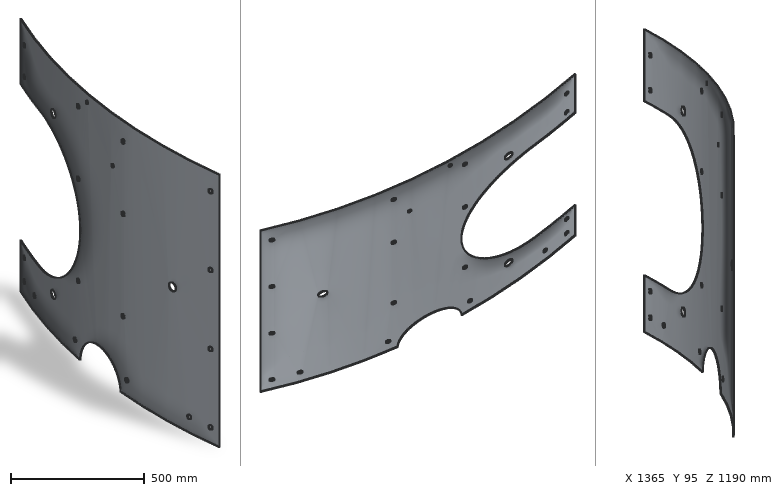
import cadquery as cq
import math

width = 1365.0
depth = 95.0
height = 1190.0
thickness = 4.0

refinement_steps = 20
end_angle = 2 * math.atan(depth / (width / 2))
for _ in range(refinement_steps):
    sagitta = depth - thickness * math.cos(end_angle)
    end_angle = 2 * math.atan(sagitta / (width / 2))
outer_radius = width / 2 / math.sin(end_angle)
inner_radius = outer_radius - thickness
bend_center_y = outer_radius - depth / 2

opening_radius = 343.0
opening_tip_x = -138.0
opening_center_x = opening_tip_x - opening_radius
opening_center_z = -30.0

notch_radius = 139.0
notch_top_z = -464.0

large_hole_diameter = 37.0
medium_hole_diameter = 19.0
small_hole_diameter = 15.0

side_column_x = 639.0
inner_column_x = 154.0
top_row_z = 505.0
upper_row_z = 367.0
lower_row_z = -423.0
bottom_row_z = -527.0

large_holes = [
    (-355.0, upper_row_z),
    (-355.0, lower_row_z),
    (442.0, 3.0),
]
medium_holes = [
    (x, z) for x in (-inner_column_x, inner_column_x) for z in (top_row_z, 188.0, -258.0)
]
small_holes = [(-89.0, 555.0), (87.0, upper_row_z)]
edge_holes = [(-side_column_x, z) for z in (top_row_z, upper_row_z, lower_row_z)]
edge_holes += [(side_column_x, z) for z in (top_row_z, 161.0, -184.0)]
edge_holes += [
    (side * x, bottom_row_z) for side in (-1, 1) for x in (177.0, 531.0, side_column_x)
]


def arc_point(radius, angle):
    """Point on the bend at an angle measured from the -Y direction."""
    return (radius * math.sin(angle), bend_center_y - radius * math.cos(angle))


def curved_sheet():
    return (
        cq.Workplane("XY")
        .workplane(offset=-height / 2)
        .moveTo(*arc_point(outer_radius, -end_angle))
        .threePointArc(arc_point(outer_radius, 0), arc_point(outer_radius, end_angle))
        .lineTo(*arc_point(inner_radius, end_angle))
        .threePointArc(arc_point(inner_radius, 0), arc_point(inner_radius, -end_angle))
        .close()
        .extrude(height)
    )


def round_cutters(points, diameter):
    """Cylinders along Y, passing through the whole depth of the part."""
    return cq.Workplane("XZ").pushPoints(points).circle(diameter / 2).extrude(depth, both=True)


def side_opening():
    open_end_x = -width
    return (
        cq.Workplane("XZ")
        .moveTo(open_end_x, opening_center_z - opening_radius)
        .lineTo(opening_center_x, opening_center_z - opening_radius)
        .threePointArc(
            (opening_tip_x, opening_center_z),
            (opening_center_x, opening_center_z + opening_radius),
        )
        .lineTo(open_end_x, opening_center_z + opening_radius)
        .close()
        .extrude(depth, both=True)
    )


result = (
    curved_sheet()
    .cut(side_opening())
    .cut(round_cutters([(0, notch_top_z - notch_radius)], 2 * notch_radius))
    .cut(round_cutters(large_holes, large_hole_diameter))
    .cut(round_cutters(medium_holes + edge_holes, medium_hole_diameter))
    .cut(round_cutters(small_holes, small_hole_diameter))
)